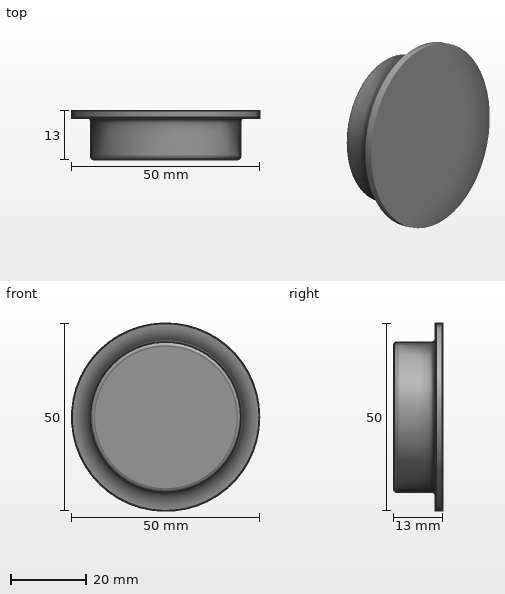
import cadquery as cq

outer_diameter = 50.0
plug_diameter = 40.0
total_depth = 13.0
rim_thickness = 2.0
flange_thickness = 0.3
nose_radius = 1.0
root_radius = 0.65

outer_radius = outer_diameter / 2
plug_radius = plug_diameter / 2
disc_thickness = rim_thickness - flange_thickness


def make_backing_disc():
    """Plain disc behind the cap flange."""
    return cq.Workplane("XZ").circle(outer_radius).extrude(disc_thickness)


def make_cap():
    """Thin flange and round plug, revolved from one half profile (radius, Y)."""
    flange_back = -disc_thickness
    flange_front = -rim_thickness
    plug_front = -total_depth
    profile = (
        cq.Workplane("XY")
        .moveTo(0, flange_back)
        .lineTo(outer_radius, flange_back)
        .lineTo(outer_radius, flange_front)
        .lineTo(plug_radius + root_radius, flange_front)
        .radiusArc((plug_radius, flange_front - root_radius), -root_radius)
        .lineTo(plug_radius, plug_front + nose_radius)
        .radiusArc((plug_radius - nose_radius, plug_front), nose_radius)
        .lineTo(0, plug_front)
        .close()
    )
    return profile.revolve(360, (0, 0, 0), (0, 1, 0))


backing_disc = make_backing_disc()
cap = make_cap()

result = cq.Compound.makeCompound([backing_disc.val(), cap.val()])